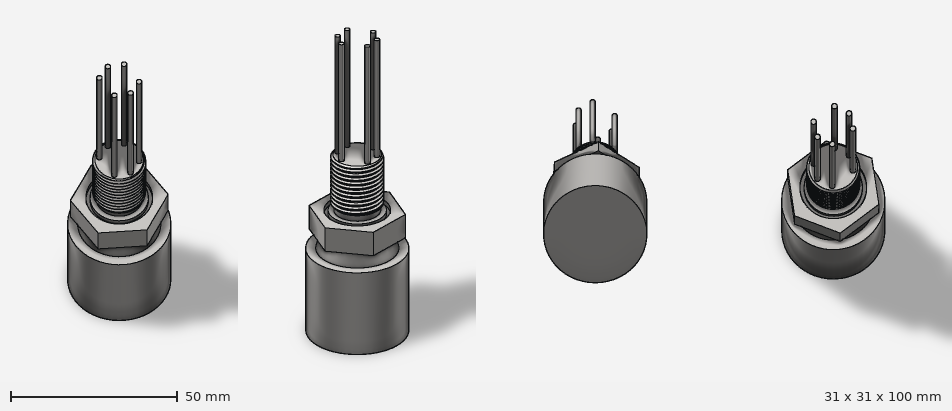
import cadquery as cq
import math

body_top = 28.0
nut_bottom = 33.0
nut_top = 41.0
thread_bottom = 43.0
thread_top = 60.0
wire_top = 100.0

body_diameter = 31.0
shoulder_bottom_diameter = 25.0
shoulder_top_diameter = 22.2

nut_across_flats = 25.5
groove_outer_diameter = 20.0
groove_inner_diameter = 17.5
groove_depth = 1.5

neck_diameter = 14.1
thread_root_diameter = 14.6
thread_diameter = 16.0
thread_end_chamfer = 0.5
thread_turns = 12
crest_width = 0.2
ridge_base_width = 1.3
root_overlap = 0.2

wire_diameter = 1.7
wire_circle_radius = 6.0
wire_row_offset = 4.5
wire_embed = 1.0

root_radius = thread_root_diameter / 2
thread_radius = thread_diameter / 2
thread_length = thread_top - thread_bottom
pitch = thread_length / thread_turns


def cylinder(diameter, bottom, top):
    return cq.Workplane("XY").workplane(offset=bottom).circle(diameter / 2).extrude(top - bottom)


def make_shoulder():
    return (
        cq.Workplane("XY")
        .workplane(offset=body_top)
        .circle(shoulder_bottom_diameter / 2)
        .workplane(offset=nut_bottom - body_top)
        .circle(shoulder_top_diameter / 2)
        .loft(ruled=True)
    )


def make_nut():
    """Hexagon with two corners on the X axis."""
    across_corners = nut_across_flats / math.cos(math.pi / 6)
    hexagon = (
        cq.Workplane("XY")
        .workplane(offset=nut_bottom)
        .polygon(6, across_corners)
        .extrude(nut_top - nut_bottom)
    )
    groove_bottom = nut_top - groove_depth
    groove = cylinder(groove_outer_diameter, groove_bottom, nut_top).cut(
        cylinder(groove_inner_diameter, groove_bottom, nut_top)
    )
    return hexagon.cut(groove)


def make_thread():
    """Right-hand ridge on its core, running past both ends and trimmed there by a chamfered blank."""
    ridge_inner_radius = root_radius - root_overlap
    ridge_length = thread_length + 2 * pitch
    path = cq.Workplane(obj=cq.Wire.makeHelix(pitch, ridge_length, root_radius))
    ridge = (
        cq.Workplane("XZ")
        .polyline(
            [
                (ridge_inner_radius, -ridge_base_width / 2),
                (thread_radius, -crest_width / 2),
                (thread_radius, crest_width / 2),
                (ridge_inner_radius, ridge_base_width / 2),
            ]
        )
        .close()
        .sweep(path, isFrenet=True)
        .translate((0, 0, thread_bottom - pitch))
    )
    ridge_height = thread_radius - root_radius
    blank = (
        cylinder(thread_diameter + 2 * ridge_height, thread_bottom, thread_top)
        .edges("%CIRCLE")
        .chamfer(2 * thread_end_chamfer, 2 * ridge_height)
    )
    return cylinder(thread_root_diameter, thread_bottom, thread_top).union(ridge.intersect(blank))


def make_wires():
    """Three wires on each side, all on one circle."""
    row_x = math.sqrt(wire_circle_radius**2 - wire_row_offset**2)
    centres = []
    for side in (-1, 1):
        centres.append((side * wire_circle_radius, 0))
        for row in (-1, 1):
            centres.append((side * row_x, row * wire_row_offset))
    start = thread_top - wire_embed
    return (
        cq.Workplane("XY")
        .workplane(offset=start)
        .pushPoints(centres)
        .circle(wire_diameter / 2)
        .extrude(wire_top - start)
    )


body = cylinder(body_diameter, 0, body_top)
neck = cylinder(neck_diameter, nut_top, thread_bottom)
threaded_neck = neck.union(make_thread())
part = body.union(make_shoulder()).union(make_nut()).union(threaded_neck).union(make_wires())
result = part.solids()